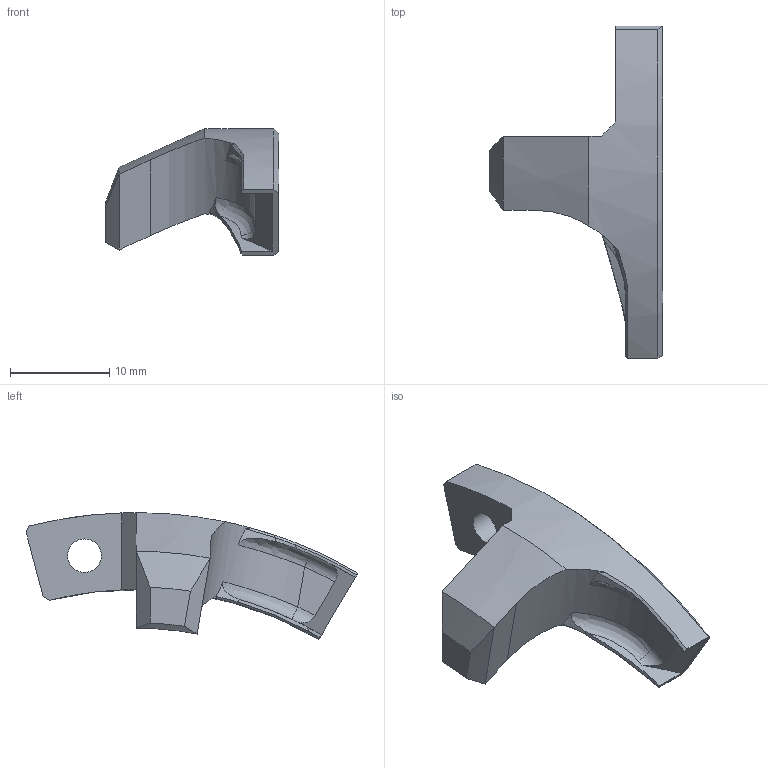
import cadquery as cq
import math


RING_OUTER = 44.0
RING_INNER = 36.25
END_ANGLE_PLUS_Y = 14.8
END_ANGLE_MINUS_Y = 30.5
BACK_CHAMFER = 0.5
END_CORNER_CHAMFER = 0.5
TAB_THICKNESS = 4.75
STEP_CHAMFER = 1.45

HOLE_DIAMETER = 3.4
HOLE_PITCH_RADIUS = 40.0
HOLE_ANGLE = 7.5

KNEE_X = -7.45
TIP_X = -17.5
TIP_CHAMFER = 1.4
ARM_SLOPE = 0.45
TIP_OUTER = 36.5
TIP_INNER = 32.9

FLANK_TILT = 9.75
FLANK_RADIUS = 9.8
FLOOR_X = -2.4
FLANK_TAPER = -ARM_SLOPE * math.sin(math.radians(FLANK_TILT))

LIP_WALL = 0.5
LIP_CHAMFER = 0.22
LIP_TILT = 20.0
LIP_X = -3.75
LIP_BEND_END = 29.0
LIP_BEND_START = 27.3
LIP_SLOPE = 0.346
LIP_BEND_DEPTH = LIP_SLOPE / (1 + math.sqrt(1 + LIP_SLOPE**2)) * (LIP_BEND_END - LIP_BEND_START)
LIP_BEND_X = LIP_X - LIP_BEND_DEPTH
LIP_FLARE_START = 21.7
LIP_FLARE_X = LIP_BEND_X - LIP_SLOPE * (LIP_BEND_START - LIP_FLARE_START)
LIP_ROOT = 18.4
LIP_ROOT_X = -8.2
LIP_START_Y = -7.5

SCOOP_RADIUS = 1.4
RAMP_END_X = -0.67
RAMP_LENGTH = 1.55

REACH = 60.0


def tilted_plane(angle):
    """Plane through the ring axis: local x is +X, local y is -Y turned down by angle."""
    a = math.radians(angle)
    return cq.Plane(origin=(0, 0, 0), xDir=(1, 0, 0), normal=(0, math.sin(a), -math.cos(a)))


def prism(plane, points):
    """Polygon in the given plane, extruded well past the part on both sides."""
    return cq.Workplane(plane).polyline(points).close().extrude(REACH, both=True)


def pocket_ring():
    """Tube about the X axis between the lips' inward faces."""
    inner = RING_INNER + LIP_WALL
    outer = RING_OUTER - LIP_WALL
    tube = cq.Workplane("YZ").circle(outer).circle(inner).extrude(REACH)
    return tube.translate((-REACH, 0, 0))


def revolved_section():
    """Ring and arm section, turned through the sector from -Y end to +Y end."""
    arm_drop = ARM_SLOPE * (KNEE_X - (TIP_X + TIP_CHAMFER))
    section = [
        (-BACK_CHAMFER, RING_OUTER),
        (KNEE_X, RING_OUTER),
        (TIP_X + TIP_CHAMFER, RING_OUTER - arm_drop),
        (TIP_X, TIP_OUTER),
        (TIP_X, TIP_INNER),
        (TIP_X + TIP_CHAMFER, RING_INNER - arm_drop),
        (KNEE_X, RING_INNER),
        (-BACK_CHAMFER, RING_INNER),
        (0, RING_INNER + BACK_CHAMFER),
        (0, RING_OUTER - BACK_CHAMFER),
    ]
    sweep = END_ANGLE_PLUS_Y + END_ANGLE_MINUS_Y
    sector = cq.Workplane("XZ").polyline(section).close().revolve(sweep, (0, 0), (1, 0))
    return sector.rotate((0, 0, 0), (1, 0, 0), -END_ANGLE_PLUS_Y)


def flank_tangent_length():
    """Length from the flank's sharp corner to each end of its arc."""
    turn = math.pi / 2 - math.atan(FLANK_TAPER)
    return FLANK_RADIUS * math.tan(turn / 2)


def flank_t(x):
    """Local y of the arm's straight -Y side at x, in the flank's tilted plane."""
    return FLANK_TAPER * (x - KNEE_X)


def flank_tool():
    """Space beside the arm and in front of the pocket floor."""
    tangent = flank_tangent_length()
    corner = cq.Vector(FLOOR_X, flank_t(FLOOR_X))
    along_arm = cq.Vector(-1, -FLANK_TAPER).normalized()
    arc_start = corner + along_arm * tangent
    return (
        cq.Workplane(tilted_plane(FLANK_TILT))
        .moveTo(-REACH, flank_t(-REACH))
        .lineTo(arc_start.x, arc_start.y)
        .tangentArcPoint((FLOOR_X, corner.y + tangent), relative=False)
        .lineTo(FLOOR_X, REACH)
        .lineTo(-REACH, REACH)
        .close()
        .extrude(REACH, both=True)
    )


def lip_tool():
    """Space in front of the lips' rim."""
    return (
        cq.Workplane(tilted_plane(-LIP_TILT))
        .moveTo(LIP_X, REACH)
        .lineTo(LIP_X, LIP_BEND_END)
        .tangentArcPoint((LIP_BEND_X, LIP_BEND_START), relative=False)
        .lineTo(LIP_FLARE_X, LIP_FLARE_START)
        .tangentArcPoint((LIP_ROOT_X, LIP_ROOT), relative=False)
        .lineTo(LIP_ROOT_X, -REACH)
        .lineTo(-REACH, -REACH)
        .lineTo(-REACH, REACH)
        .close()
        .extrude(REACH, both=True)
    )


def pocket_tool():
    """Space between the lips, with rounded corners along the pocket floor."""
    tool = flank_tool().intersect(pocket_ring())
    upper_side = cq.Workplane("XY").box(REACH, REACH, REACH, centered=(True, True, False))
    tool = tool.intersect(upper_side)
    far_end = -0.9 * REACH
    near_part = cq.selectors.BoxSelector((far_end, -REACH, 0), (0, REACH, REACH))
    return tool.edges("not %LINE").edges(near_part).fillet(SCOOP_RADIUS)


def ramp_tool():
    """Wedge that lowers the pocket floor toward the -Y end."""
    slope = RAMP_LENGTH / (RAMP_END_X - FLOOR_X)
    overrun = 1.0
    wedge = prism(
        tilted_plane(END_ANGLE_MINUS_Y),
        [
            (RAMP_END_X + overrun, slope * overrun),
            (LIP_X - overrun, slope * overrun),
            (LIP_X - overrun, slope * (LIP_X - overrun - RAMP_END_X)),
        ],
    )
    return wedge.intersect(pocket_ring())


def tab_tool():
    """Space in front of the +Y tab, with a 45 degree step beside the arm."""
    tab_face = -TAB_THICKNESS
    outline = [
        (-REACH, 0),
        (tab_face - STEP_CHAMFER, 0),
        (tab_face, STEP_CHAMFER),
        (tab_face, REACH),
        (-REACH, REACH),
    ]
    return prism(cq.Plane.XY(), outline)


def tip_side_tools():
    """Wedges that bevel both sides of the arm tip."""
    base = TIP_X + TIP_CHAMFER
    beyond = 2 * TIP_CHAMFER
    plus_y = prism(cq.Plane.XY(), [(base, 0), (base - beyond, -beyond), (base - beyond, 0)])
    side = flank_t(base)
    minus_y = prism(
        tilted_plane(FLANK_TILT),
        [
            (base, side),
            (base - beyond, side - beyond),
            (base - beyond, side + beyond),
            (base, side + beyond),
        ],
    )
    return plus_y, minus_y


def tab_hole():
    """Round hole through the +Y tab along X."""
    a = math.radians(HOLE_ANGLE)
    center = (HOLE_PITCH_RADIUS * math.sin(a), HOLE_PITCH_RADIUS * math.cos(a))
    return cq.Workplane("YZ").center(*center).circle(HOLE_DIAMETER / 2).extrude(REACH, both=True)


def chamfer_lips(body):
    """Break the lips' rim where it meets the ring's outer and inner faces."""
    rim = []
    for edge in body.edges().vals():
        box = edge.BoundingBox()
        middle = edge.positionAt(0.5)
        radius = math.hypot(middle.y, middle.z)
        on_ring = radius > RING_OUTER - LIP_CHAMFER / 2 or radius < RING_INNER + LIP_CHAMFER / 2
        on_lip = box.xmax < LIP_X + LIP_CHAMFER and box.xmin > KNEE_X and box.ymax < LIP_START_Y
        if on_ring and on_lip:
            rim.append(edge)
    return body.newObject(rim).chamfer(LIP_CHAMFER)


def chamfer_tab_corners(body):
    """Chamfer the two X-direction corners of the +Y end."""
    return body.edges("|X").edges(">>Y or >>Y[-2]").chamfer(END_CORNER_CHAMFER)


body = chamfer_tab_corners(revolved_section().cut(tab_tool()))
body = body.cut(flank_tool().intersect(lip_tool()).union(pocket_tool()))
for tip_tool in tip_side_tools():
    body = body.cut(tip_tool)
body = chamfer_lips(body.cut(ramp_tool()))

result = body.cut(tab_hole())